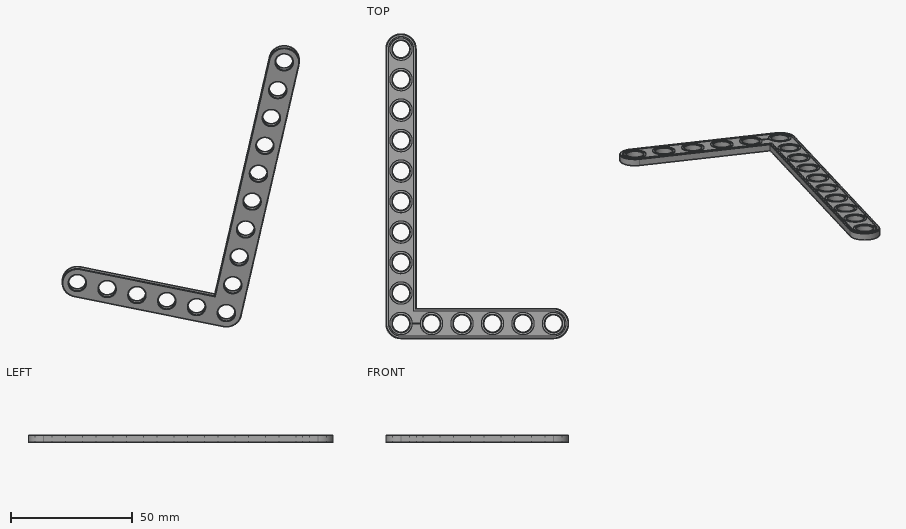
import cadquery as cq

pitch = 12.5
holes_x = 6
holes_y = 10
thickness = 3.12
hole_diameter = 7.0
collar_diameter = 9.2
rim_width = 1.1
edge_chamfer = 0.3
recess_depth = 0.2
rib_length = 3.0
rib_width = 0.3

half_width = pitch / 2
recess_floor = thickness - recess_depth
reach_x = (holes_x - 1) * pitch
reach_y = (holes_y - 1) * pitch
hole_centers = [(i * pitch, 0) for i in range(holes_x)]
hole_centers += [(0, i * pitch) for i in range(1, holes_y)]


def angle_plate(radius, base, height):
    """L-shaped plate with round ends and a round outer corner, all of one radius."""
    return (
        cq.Workplane("XY", origin=(0, 0, base))
        .moveTo(0, -radius)
        .lineTo(reach_x, -radius)
        .threePointArc((reach_x + radius, 0), (reach_x, radius))
        .lineTo(radius, radius)
        .lineTo(radius, reach_y)
        .threePointArc((0, reach_y + radius), (-radius, reach_y))
        .lineTo(-radius, 0)
        .radiusArc((0, -radius), -radius)
        .close()
        .extrude(height)
    )


def cylinders(diameter, base, height):
    """One cylinder at every hole position."""
    return (
        cq.Workplane("XY", origin=(0, 0, base))
        .pushPoints(hole_centers)
        .circle(diameter / 2)
        .extrude(height)
    )


def chamfered_plate():
    """Drilled plate with both faces chamfered along the outline and the holes."""
    plate = angle_plate(half_width, 0, thickness)
    plate = plate.cut(cylinders(hole_diameter, 0, thickness))
    return plate.faces("<Z or >Z").edges().chamfer(edge_chamfer)


def top_recess():
    """Shallow pocket inside the rim, leaving a collar around each hole."""
    pocket = angle_plate(half_width - rim_width, recess_floor, recess_depth)
    return pocket.cut(cylinders(collar_diameter, recess_floor, recess_depth))


def corner_rib():
    """Short bar on the recess floor, midway between the corner hole and the next along X."""
    return (
        cq.Workplane("XY", origin=(pitch / 2, 0, recess_floor))
        .rect(rib_length, rib_width)
        .extrude(recess_depth)
    )


result = chamfered_plate().cut(top_recess()).union(corner_rib())